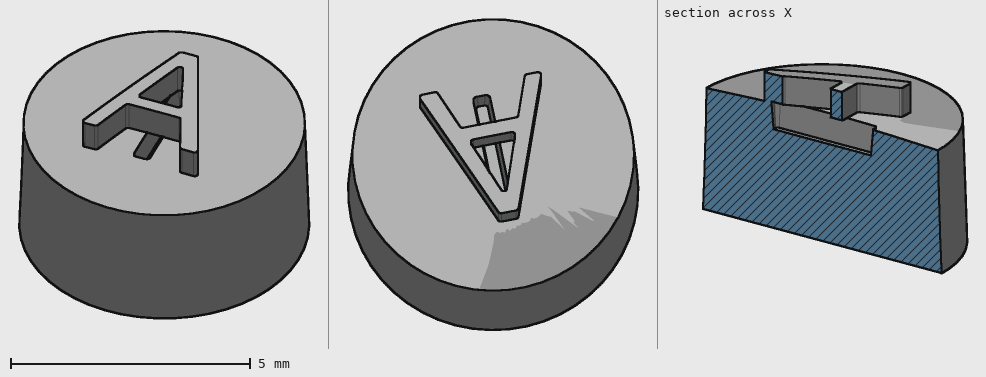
import cadquery as cq

base_radius = 3.025
top_radius = 2.935
rim_height = 2.765
dome_rise = 0.085

total_height = 3.5
corner_radius = 0.065
letter_outline = [
    (-1.31, -1.38),
    (-0.955, -1.38),
    (-0.63, -0.5),
    (0.58, -0.5),
    (0.92, -1.38),
    (1.325, -1.38),
    (0.165, 1.465),
    (-0.235, 1.465),
]
counter_outline = [(-0.52, -0.21), (0.47, -0.21), (-0.035, 1.13)]

slot_length = 2.565
slot_width = 0.36
slot_floor_width = 0.25
slot_depth = 0.605
slot_corner_radius = 0.09
slot_floor_corner_radius = 0.06

dome_apex = rim_height + dome_rise
letter_height = total_height - dome_apex


def domed_body(lift=0.0):
    """Revolved conical body whose rim and domed top are raised by lift."""
    rim = rim_height + lift
    apex = dome_apex + lift
    dome_radius = (top_radius**2 + dome_rise**2) / (2 * dome_rise)
    middle_x = top_radius / 2
    middle_z = apex - dome_radius + (dome_radius**2 - middle_x**2) ** 0.5
    return (
        cq.Workplane("XZ")
        .lineTo(base_radius, 0)
        .lineTo(top_radius, rim)
        .threePointArc((middle_x, middle_z), (0, apex))
        .close()
        .revolve(360, (0, 0, 0), (0, 1, 0))
    )


def rounded_prism(points):
    """Prism with rounded corners, from inside the body to the full height."""
    start = rim_height - dome_rise
    return (
        cq.Workplane("XY", origin=(0, 0, start))
        .polyline(points)
        .close()
        .extrude(total_height - start)
        .edges("|Z")
        .fillet(corner_radius)
    )


def slot_cutter():
    """Rounded rectangular slot, narrowing evenly from the dome to its floor."""
    narrowing = slot_width - slot_floor_width
    floor = cq.Sketch().rect(slot_floor_width, slot_length - narrowing)
    floor = floor.vertices().fillet(slot_floor_corner_radius)
    mouth = cq.Sketch().rect(slot_width, slot_length)
    mouth = mouth.vertices().fillet(slot_corner_radius)
    return (
        cq.Workplane("XY", origin=(0, 0, dome_apex - slot_depth))
        .placeSketch(floor, mouth.moved(cq.Location(cq.Vector(0, 0, slot_depth))))
        .loft()
    )


letter = rounded_prism(letter_outline).cut(rounded_prism(counter_outline))
letter = letter.intersect(domed_body(letter_height))

slot = slot_cutter()
result = domed_body().cut(slot).union(letter.cut(slot))